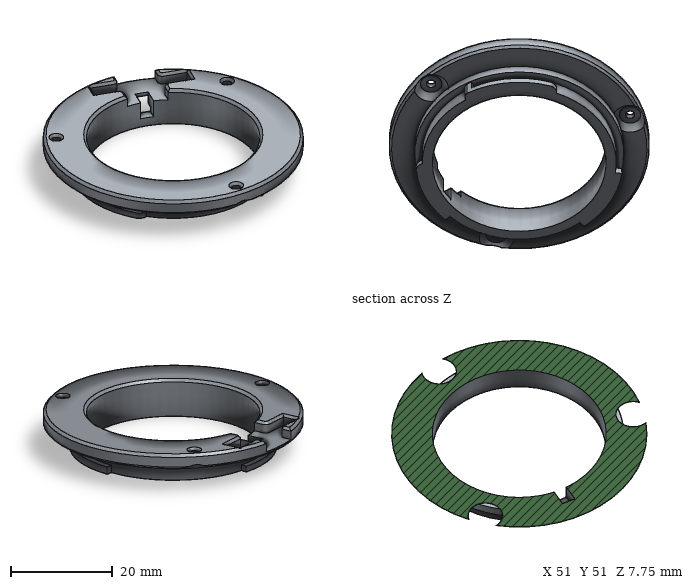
import cadquery as cq
import math

height = 7.75
outer_radius = 25.5
bore_radius = 34.0 / 2
shoulder_radius = 20.5
barrel_radius = 19.0
flange_bottom = 4.75
shoulder_bottom = 2.95
top_chamfer = 0.55
bottom_chamfer = 0.45

hole_radius = 1.8 / 2
countersink_radius = 1.45
hole_circle_radius = 22.95
hole_angles = (90, 210, 330)
relief_radius = 3.35
relief_depth = 1.3

pocket_angle = 135
pocket_floor = 5.5
channel_half_width = 4.2
arm_half_length = 9.95
arm_inner = 19.45
arm_outer = 22.55
pocket_corner_radius = 1.0
pocket_chamfer = 0.5

slot_width = 2.65
slot_floor = 1.9

tab_radius = 20.3
lip_height = 1.2
tall_lip_height = 1.55
front_tab_start = -131.5
front_tab_end = -83.5
stop_span = 2.7
stop_lead_in = 3.2
lip_lead_out = 5.0
side_tab_start = -4.0
side_tab_end = 40.0
rear_tab_start = 124.4
rear_tab_end = 163.5


def polar(radius, angle):
    """Point at a radius and an angle in degrees."""
    a = math.radians(angle)
    return radius * math.cos(a), radius * math.sin(a)


def disc(radius, bottom, top):
    return cq.Workplane("XY").workplane(offset=bottom).circle(radius).extrude(top - bottom)


def cone(bottom_radius, top_radius, bottom):
    """Truncated 45-degree cone standing on the level `bottom`."""
    rise = abs(top_radius - bottom_radius)
    return cq.Workplane(cq.Solid.makeCone(bottom_radius, top_radius, rise, cq.Vector(0, 0, bottom)))


def bayonet_tab(start, end, tab_height, lead_in=0.0, lead_out=0.0):
    """Arc-shaped tab on the barrel; a lead angle rounds that end down to the barrel."""
    root_radius = barrel_radius - 0.5
    bulge = 0.35
    bulge_radius = tab_radius - bulge * (tab_radius - barrel_radius)
    middle = (start + end) / 2

    outline = cq.Workplane("XY").moveTo(*polar(tab_radius, start))
    outline = outline.threePointArc(polar(tab_radius, middle), polar(tab_radius, end))
    if lead_out:
        bulge_point = polar(bulge_radius, end + (1 - bulge) * lead_out)
        outline = outline.threePointArc(bulge_point, polar(barrel_radius, end + lead_out))
    outline = outline.lineTo(*polar(root_radius, end + lead_out))
    outline = outline.threePointArc(polar(root_radius, middle), polar(root_radius, start - lead_in))
    if lead_in:
        bulge_point = polar(bulge_radius, start - (1 - bulge) * lead_in)
        outline = outline.lineTo(*polar(barrel_radius, start - lead_in))
        outline = outline.threePointArc(bulge_point, polar(tab_radius, start))
    return outline.close().extrude(tab_height)


def cross_prism(growth, bottom):
    """Cross with its radial channel along +X, rising past the top face, every side moved out by `growth`."""
    margin = 5.1
    top = height + margin
    rise = top - bottom
    start = bore_radius - margin
    end = outer_radius + margin
    half_width = channel_half_width + growth
    arm_start = arm_inner - growth
    arm_end = arm_outer + growth

    channel = cq.Workplane("XY").box(end - start, 2 * half_width, rise, centered=(False, True, False))
    arms = cq.Workplane("XY").box(
        arm_end - arm_start, 2 * (arm_half_length + growth), rise, centered=(False, True, False)
    )
    cross = channel.translate((start, 0, bottom)).union(arms.translate((arm_start, 0, bottom)))
    inner_corners = cq.selectors.BoxSelector(
        (arm_start - 0.5, -half_width - 0.5, bottom),
        (arm_end + 0.5, half_width + 0.5, top),
    )
    return cross.edges("|Z").edges(inner_corners).fillet(pocket_corner_radius - growth)


def cross_pocket():
    """Cross-shaped cutter with a 45-degree flare that chamfers the pocket's top edge."""
    pocket = cross_prism(0, pocket_floor)
    flare = cross_prism(pocket_chamfer, height - pocket_chamfer).faces("<Z").chamfer(pocket_chamfer)
    return pocket.union(flare)


def latch_slot():
    """Radial slot from the bore through the shoulder wall, along +X."""
    slot_start = bore_radius - 2.55
    return cq.Workplane("XY").box(
        shoulder_radius - slot_start, slot_width, pocket_floor - slot_floor, centered=(False, True, False)
    ).translate((slot_start, 0, slot_floor))


def screw_hole(angle):
    """Through hole, countersunk on top, with a conical relief under the flange."""
    sink = countersink_radius - hole_radius
    hole = disc(hole_radius, 0, height)
    hole = hole.union(cone(hole_radius, countersink_radius, height - sink))
    hole = hole.union(cone(relief_radius, relief_radius - relief_depth, flange_bottom))
    return hole.translate((*polar(hole_circle_radius, angle), 0))


flange = disc(outer_radius, flange_bottom, height)
flange = flange.faces(">Z").chamfer(top_chamfer).faces("<Z").chamfer(bottom_chamfer)
for hole_angle in hole_angles:
    flange = flange.cut(screw_hole(hole_angle))
body = flange.union(disc(shoulder_radius, shoulder_bottom, flange_bottom))
body = body.union(disc(barrel_radius, 0, shoulder_bottom))

body = body.union(bayonet_tab(front_tab_start, front_tab_end, lip_height, stop_lead_in, lip_lead_out))
stop_end = front_tab_start + stop_span
body = body.union(bayonet_tab(front_tab_start, stop_end, shoulder_bottom, stop_lead_in))
body = body.union(bayonet_tab(side_tab_start, side_tab_end, tall_lip_height))
body = body.union(bayonet_tab(rear_tab_start, rear_tab_end, lip_height, lead_out=lip_lead_out))

bore = disc(bore_radius, 0, height)
bore = bore.union(cone(bore_radius, bore_radius + top_chamfer, height - top_chamfer))
body = body.cut(bore)
for cutter in (cross_pocket(), latch_slot()):
    body = body.cut(cutter.rotate((0, 0, 0), (0, 0, 1), pocket_angle))

result = body